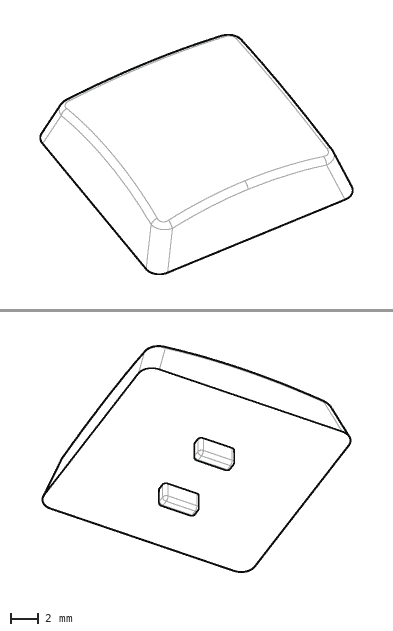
import cadquery as cq

base_side = 17.5
cap_height = 5.0
draft_angle = 17
corner_radius = 1.2

dome_radius = 38.85
rim_radius = 0.65

leg_spacing = 5.7
leg_width = 1.1
leg_length = 3.0
leg_height = 1.49
leg_round = 0.3


def make_cap():
    """Tapered block with round corners, cut off by a sphere and rounded along the rim."""
    block = (
        cq.Workplane("XY")
        .rect(base_side, base_side)
        .extrude(cap_height, taper=draft_angle)
        .edges("not(|X or |Y)")
        .fillet(corner_radius)
    )
    dome = cq.Workplane("XY").sphere(dome_radius).translate((0, 0, cap_height - dome_radius))
    return block.intersect(dome).faces("%SPHERE").edges().fillet(rim_radius)


def make_leg(x):
    """Leg with rounded upright edges and a rounded lower end."""
    return (
        cq.Workplane("XY")
        .center(x, 0)
        .rect(leg_width, leg_length)
        .extrude(-leg_height)
        .edges("|Z")
        .fillet(leg_round)
        .faces("<Z")
        .edges()
        .fillet(leg_round)
    )


result = make_cap()
for leg_x in (-leg_spacing / 2, leg_spacing / 2):
    result = result.union(make_leg(leg_x))